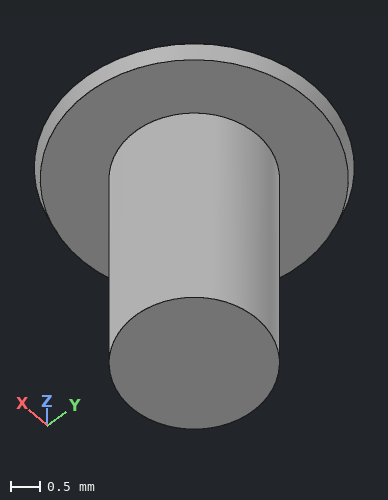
import cadquery as cq
import math

total_height = 6.45
head_diameter = 5.5
shank_diameter = 2.93

head_height = 1.45
rim_height = 0.3
underside_diameter = 5.29
top_flat_diameter = 2.6
dome_bulge = 0.14

head_radius = head_diameter / 2
shank_radius = shank_diameter / 2
underside_radius = underside_diameter / 2
top_flat_radius = top_flat_diameter / 2
underside_z = total_height - head_height
rim_z = underside_z + rim_height

chord_run = head_radius - top_flat_radius
chord_rise = total_height - rim_z
chord_length = math.hypot(chord_run, chord_rise)
dome_middle = (
    (head_radius + top_flat_radius) / 2 + dome_bulge * chord_rise / chord_length,
    (total_height + rim_z) / 2 + dome_bulge * chord_run / chord_length,
)

profile = (
    cq.Workplane("XZ")
    .moveTo(0, 0)
    .lineTo(shank_radius, 0)
    .lineTo(shank_radius, underside_z)
    .lineTo(underside_radius, underside_z)
    .lineTo(head_radius, rim_z)
    .threePointArc(dome_middle, (top_flat_radius, total_height))
    .lineTo(0, total_height)
    .close()
)
result = profile.revolve(360, (0, 0, 0), (0, 1, 0))